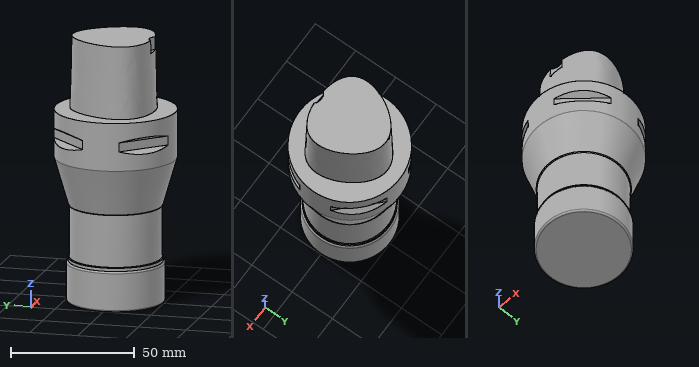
import cadquery as cq
import math

TOTAL_HEIGHT = 110.0
SHANK_LENGTH = 30.0
FLANGE_HEIGHT = 19.9
CONE_HEIGHT = 20.0
NUT_HEIGHT = 16.8
NECK_BASE_HEIGHT = 18.5
FLANGE_TOP = TOTAL_HEIGHT - SHANK_LENGTH
FLANGE_BOTTOM = FLANGE_TOP - FLANGE_HEIGHT
CONE_BOTTOM = FLANGE_BOTTOM - CONE_HEIGHT

FLANGE_RADIUS = 50.0 / 2
NECK_RADIUS = 37.7 / 2
COLLAR_RADIUS = 38.5 / 2
NECK_BEVEL = 0.3
NUT_RADIUS = 40.0 / 2
NUT_TOP_ROUND = 0.8
NUT_BOTTOM_ROUND = 0.8

LOBE_MEAN_RADIUS = 17.6
LOBE_ECCENTRICITY = 1.2
TAPER_PER_SIDE = 1 / 40
OUTLINE_POINTS = 36

NOTCH_DEPTH = 5.3
NOTCH_RADIUS = 4.6
NOTCH_INNER_Y = -14.1

GROOVE_COUNT = 4
GROOVE_START_ANGLE = 45.0
GROOVE_FLOOR_DISTANCE = 22.2
GROOVE_FLOOR_HEIGHT = 3.7
GROOVE_FLANK_ANGLE = 30.0


def lobed_outline(mean_radius):
    """Points of a rounded three-lobed curve with one lobe toward +Y."""
    points = []
    for i in range(OUTLINE_POINTS):
        angle = 2 * math.pi * i / OUTLINE_POINTS
        x = mean_radius * math.sin(angle) - LOBE_ECCENTRICITY * math.sin(2 * angle)
        y = mean_radius * math.cos(angle) + LOBE_ECCENTRICITY * math.cos(2 * angle)
        points.append((x, y))
    return points


def make_shank():
    """Tapered polygon shank with the notch on its -Y side."""
    tip_radius = LOBE_MEAN_RADIUS - SHANK_LENGTH * TAPER_PER_SIDE
    shank = (
        cq.Workplane("XY", origin=(0, 0, FLANGE_TOP))
        .spline(lobed_outline(LOBE_MEAN_RADIUS), periodic=True)
        .close()
        .workplane(offset=SHANK_LENGTH)
        .spline(lobed_outline(tip_radius), periodic=True)
        .close()
        .loft(ruled=True)
    )
    notch = (
        cq.Workplane("XY", origin=(0, NOTCH_INNER_Y - NOTCH_RADIUS, TOTAL_HEIGHT - NOTCH_DEPTH))
        .circle(NOTCH_RADIUS)
        .extrude(NOTCH_DEPTH)
    )
    return shank.cut(notch)


def make_groove(angle):
    """Cutter for one straight groove with sloping flanks, tangent to the flange."""
    depth = FLANGE_RADIUS - GROOVE_FLOOR_DISTANCE
    floor_half = GROOVE_FLOOR_HEIGHT / 2
    mouth_half = floor_half + depth * math.tan(math.radians(GROOVE_FLANK_ANGLE))
    middle = (FLANGE_TOP + FLANGE_BOTTOM) / 2
    return (
        cq.Workplane("XZ", origin=(0, 0, middle))
        .polyline([
            (GROOVE_FLOOR_DISTANCE, -floor_half),
            (FLANGE_RADIUS, -mouth_half),
            (FLANGE_RADIUS, mouth_half),
            (GROOVE_FLOOR_DISTANCE, floor_half),
        ])
        .close()
        .extrude(FLANGE_RADIUS, both=True)
        .rotate((0, 0, 0), (0, 0, 1), angle)
    )


def make_holder():
    """Flange, cone, neck and collar, carrying the shank."""
    holder = (
        cq.Workplane("XZ")
        .polyline([
            (0, NUT_HEIGHT),
            (COLLAR_RADIUS, NUT_HEIGHT),
            (COLLAR_RADIUS, NECK_BASE_HEIGHT - NECK_BEVEL),
            (NECK_RADIUS, NECK_BASE_HEIGHT),
            (NECK_RADIUS, CONE_BOTTOM),
            (COLLAR_RADIUS, CONE_BOTTOM + NECK_BEVEL),
            (FLANGE_RADIUS, FLANGE_BOTTOM),
            (FLANGE_RADIUS, FLANGE_TOP),
            (0, FLANGE_TOP),
        ])
        .close()
        .revolve(360, (0, 0, 0), (0, 1, 0))
    )
    for i in range(GROOVE_COUNT):
        holder = holder.cut(make_groove(GROOVE_START_ANGLE + 360 * i / GROOVE_COUNT))
    return holder.union(make_shank())


def make_nut():
    """Round clamping nut with rounded rims, seated against the collar."""
    return (
        cq.Workplane("XY")
        .circle(NUT_RADIUS)
        .extrude(NUT_HEIGHT)
        .faces(">Z").edges().fillet(NUT_TOP_ROUND)
        .faces("<Z").edges().fillet(NUT_BOTTOM_ROUND)
    )


holder = make_holder()
nut = make_nut()
result = cq.Compound.makeCompound([holder.val(), nut.val()])